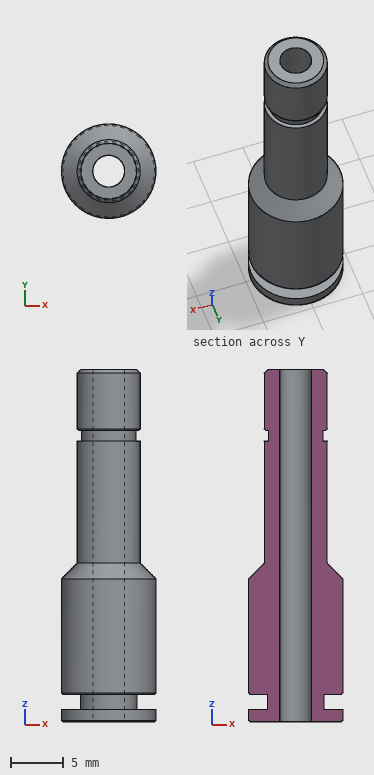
import cadquery as cq

total_length = 33.5
bore_diameter = 3.0

body_diameter = 9.0
flange_thickness = 1.2
neck_diameter = 5.4
neck_length = 1.4

body_length = 11.0
edge_chamfer = 0.15

stem_diameter = 6.0
tip_chamfer = 0.35
tip_length = 5.8
groove_diameter = 5.2
groove_width = 1.0

body_bottom = flange_thickness + neck_length
body_top = body_bottom + body_length
shoulder_height = (body_diameter - stem_diameter) / 2
stem_bottom = body_top + shoulder_height
groove_top = total_length - tip_length
groove_bottom = groove_top - groove_width


def cylinder(diameter, bottom, top):
    """Solid cylinder on the Z axis between two heights."""
    return cq.Workplane("XY").workplane(offset=bottom).circle(diameter / 2).extrude(top - bottom)


def make_release_button():
    flange = cylinder(body_diameter, 0, flange_thickness).faces("<Z").chamfer(edge_chamfer)
    neck = cylinder(neck_diameter, flange_thickness, body_bottom)
    return flange.union(neck)


def make_body():
    """Socket body with a broken lower edge and a conical shoulder."""
    body = cylinder(body_diameter, body_bottom, stem_bottom)
    return body.faces("<Z").chamfer(edge_chamfer).faces(">Z").chamfer(shoulder_height)


def make_stem():
    """Plug-in stem: plain shank, groove and chamfered tip."""
    shank = cylinder(stem_diameter, stem_bottom, groove_bottom)
    groove_core = cylinder(groove_diameter, groove_bottom, groove_top)
    tip = cylinder(stem_diameter, groove_top, total_length)
    tip = tip.faces(">Z").chamfer(tip_chamfer).faces("<Z").chamfer(edge_chamfer)
    return shank.union(groove_core).union(tip)


bore = cylinder(bore_diameter, 0, total_length)
result = make_release_button().union(make_body()).union(make_stem()).cut(bore)